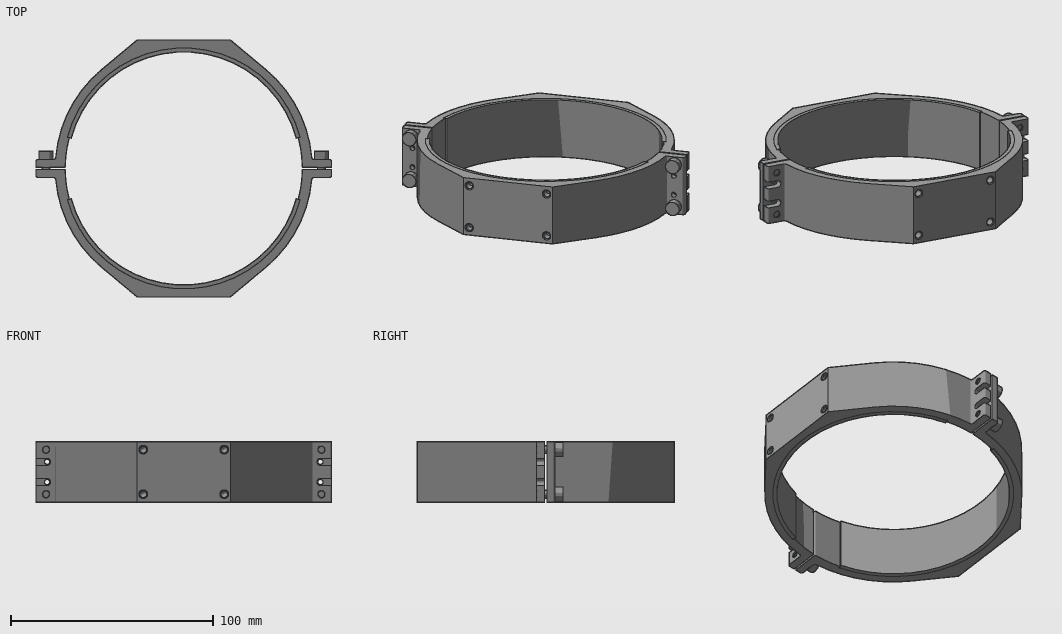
import cadquery as cq
import math

HEIGHT = 30.0
INNER_RADIUS = 58.5
WALL = 5.0
OUTER_RADIUS = INNER_RADIUS + WALL
GAP = 1.0
PAD_WIDTH = 46.0

OVERALL_LENGTH = 146.0
FLANGE_THICKNESS = 4.0
FLANGE_INNER = GAP / 2
FLANGE_OUTER = FLANGE_INNER + FLANGE_THICKNESS
FLANGE_END = OVERALL_LENGTH / 2
FLANGE_ROUND = 1.0
BORE_EDGE_ROUND = 0.5

LINER_THICKNESS = 2.0
LINER_PROUD = 1.0
LINER_INNER_RADIUS = INNER_RADIUS - LINER_PROUD
LINER_OUTER_RADIUS = LINER_INNER_RADIUS + LINER_THICKNESS
LINER_END_ANGLE = 15.0

SCREW_X = 68.0
SCREW_Z = 11.0
SCREW_DIAMETER = 4.0
SCREW_LENGTH = 8.0
SCREW_TIP = FLANGE_OUTER - SCREW_LENGTH
SCREW_EXIT_DIAMETER = 3.3
HEAD_DIAMETER = 7.0
HEAD_HEIGHT = 4.0

SLOT_X = 67.5
SLOT_Z = 5.0
SLOT_WIDTH = 3.5
REAR_HOLE_DIAMETER = 2.5

PAD_HOLE_X = 20.0
PAD_HOLE_Z = 11.0
PAD_HOLE_DIAMETER = 3.3
PAD_HOLE_DEPTH = 5.0
PAD_HOLE_MOUTH = 4.3
DRILL_TIP_ANGLE = 118.0

SIDES = (-1, 1)


def prism(sketch):
    """Extrude a plan outline over the full height, centred on Z = 0."""
    return sketch.extrude(HEIGHT / 2, both=True)


def cylinder_y(x, z, radius, y_start, y_end):
    """Cylinder along Y between two Y positions."""
    start = cq.Vector(x, y_start, z)
    direction = cq.Vector(0, y_end - y_start, 0)
    return cq.Workplane(cq.Solid.makeCylinder(radius, abs(y_end - y_start), start, direction))


def mirrored(body):
    """Turn a rear (+Y) shape into its front (-Y) counterpart."""
    return body.mirror("XZ")


def liner():
    """Rear liner: an arc strip with radial ends."""
    angle = math.radians(LINER_END_ANGLE)
    outer_x = LINER_OUTER_RADIUS * math.cos(angle)
    outer_y = LINER_OUTER_RADIUS * math.sin(angle)
    inner_x = LINER_INNER_RADIUS * math.cos(angle)
    inner_y = LINER_INNER_RADIUS * math.sin(angle)
    return prism(
        cq.Workplane("XY")
        .moveTo(outer_x, outer_y)
        .threePointArc((0, LINER_OUTER_RADIUS), (-outer_x, outer_y))
        .lineTo(-inner_x, inner_y)
        .threePointArc((0, LINER_INNER_RADIUS), (inner_x, inner_y))
        .close()
    )


def pad_hole(x, z):
    """Blind drilled hole with a countersunk mouth and a conical tip."""
    radius = PAD_HOLE_DIAMETER / 2
    mouth_radius = PAD_HOLE_MOUTH / 2
    bottom = OUTER_RADIUS - PAD_HOLE_DEPTH
    tip = bottom - radius / math.tan(math.radians(DRILL_TIP_ANGLE / 2))
    return (
        cq.Workplane("XY")
        .moveTo(0, OUTER_RADIUS)
        .lineTo(mouth_radius, OUTER_RADIUS)
        .lineTo(radius, OUTER_RADIUS - (mouth_radius - radius))
        .lineTo(radius, bottom)
        .lineTo(0, tip)
        .close()
        .revolve(360, (0, 0, 0), (0, 1, 0))
        .translate((x, 0, z))
    )


def half_blank():
    """Rear half ring with its pad, flanges, liner groove and pad holes."""
    tangent_angle = 2 * math.atan(PAD_WIDTH / 2 / OUTER_RADIUS)
    tangent_x = OUTER_RADIUS * math.sin(tangent_angle)
    tangent_y = OUTER_RADIUS * math.cos(tangent_angle)
    pad = prism(
        cq.Workplane("XY").polyline([
            (0, 0),
            (tangent_x, tangent_y),
            (PAD_WIDTH / 2, OUTER_RADIUS),
            (-PAD_WIDTH / 2, OUTER_RADIUS),
            (-tangent_x, tangent_y),
        ]).close()
    )
    rear_space = prism(
        cq.Workplane("XY").center(0, FLANGE_INNER + OUTER_RADIUS).rect(2 * OVERALL_LENGTH, 2 * OUTER_RADIUS)
    )
    flanges = prism(
        cq.Workplane("XY")
        .center(0, FLANGE_INNER + FLANGE_THICKNESS / 2)
        .rect(OVERALL_LENGTH, FLANGE_THICKNESS)
    )
    ring = prism(cq.Workplane("XY").circle(OUTER_RADIUS))
    bore = prism(cq.Workplane("XY").circle(INNER_RADIUS))
    body = ring.union(pad).intersect(rear_space).union(flanges).cut(bore)

    root_x = math.sqrt(OUTER_RADIUS**2 - FLANGE_OUTER**2)
    bore_edge_x = math.sqrt(INNER_RADIUS**2 - FLANGE_INNER**2)
    for side in SIDES:
        for x in (root_x, FLANGE_END):
            corner = cq.selectors.NearestToPointSelector((side * x, FLANGE_OUTER, 0))
            body = body.edges("|Z").edges(corner).fillet(FLANGE_ROUND)
        bore_edge = cq.selectors.NearestToPointSelector((side * bore_edge_x, FLANGE_INNER, 0))
        body = body.edges("|Z").edges(bore_edge).fillet(BORE_EDGE_ROUND)

    body = body.cut(liner())
    for side in SIDES:
        for level in SIDES:
            body = body.cut(pad_hole(side * PAD_HOLE_X, level * PAD_HOLE_Z))
    return body


def rear_half():
    """Rear clamp half, with through holes for the screws and a round hole behind each front slot."""
    body = half_blank()
    for side in SIDES:
        for level in SIDES:
            body = body.cut(
                cylinder_y(side * SCREW_X, level * SCREW_Z, SCREW_DIAMETER / 2, FLANGE_INNER, FLANGE_OUTER)
            )
            body = body.cut(
                cylinder_y(side * SLOT_X, level * SLOT_Z, REAR_HOLE_DIAMETER / 2, FLANGE_INNER, FLANGE_OUTER)
            )
    return body


def front_half():
    """Front clamp half, with stepped screw holes and slots that open at the flange ends."""
    body = mirrored(half_blank())
    slot_length = FLANGE_END - SLOT_X
    for side in SIDES:
        for level in SIDES:
            x = side * SLOT_X
            z = level * SLOT_Z
            round_end = cylinder_y(x, z, SLOT_WIDTH / 2, -FLANGE_OUTER, -FLANGE_INNER)
            channel = cq.Workplane("XY").box(slot_length, FLANGE_THICKNESS, SLOT_WIDTH).translate(
                (side * (SLOT_X + slot_length / 2), -(FLANGE_INNER + FLANGE_THICKNESS / 2), z)
            )
            body = body.cut(round_end).cut(channel)

            screw_x = side * SCREW_X
            screw_z = level * SCREW_Z
            exit_hole = cylinder_y(screw_x, screw_z, SCREW_EXIT_DIAMETER / 2, -FLANGE_OUTER, SCREW_TIP)
            shank_hole = cylinder_y(screw_x, screw_z, SCREW_DIAMETER / 2, SCREW_TIP, -FLANGE_INNER)
            body = body.cut(exit_hole).cut(shank_hole)
    return body


def screw(x, z):
    """Cap screw seated on the rear flange and threaded into the front flange."""
    head = cylinder_y(x, z, HEAD_DIAMETER / 2, FLANGE_OUTER, FLANGE_OUTER + HEAD_HEIGHT)
    shank = cylinder_y(x, z, SCREW_DIAMETER / 2, SCREW_TIP, FLANGE_OUTER)
    return head.union(shank)


rear_clamp = rear_half()
front_clamp = front_half()
rear_liner = liner()
front_liner = mirrored(rear_liner)
screws = [screw(side * SCREW_X, level * SCREW_Z) for side in SIDES for level in SIDES]

result = cq.Compound.makeCompound([
    body.solids().val() for body in (rear_clamp, front_clamp, rear_liner, front_liner, *screws)
])